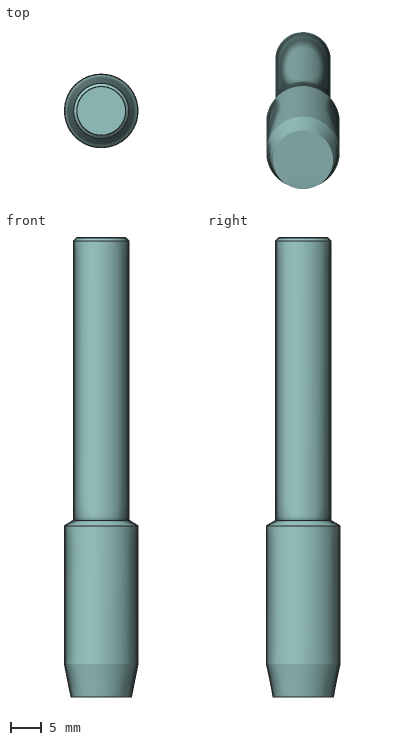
import cadquery as cq

total_length = 75.0
pin_diameter = 9.0
pin_chamfer = 0.5
base_diameter = 12.0
base_length = 28.9
shoulder_height = 0.9
tip_diameter = 9.8
tip_length = 5.4

pin_radius = pin_diameter / 2
base_radius = base_diameter / 2
tip_radius = tip_diameter / 2


def revolve_profile(profile):
    """Revolve (radius, height) points about the Z axis."""
    return cq.Workplane("XZ").polyline(profile).close().revolve(360, (0, 0), (0, 1))


def make_base():
    """Solid round base, tapered at the bottom, with a conical shoulder ending at the pin diameter."""
    return revolve_profile([
        (0, 0),
        (tip_radius, 0),
        (base_radius, tip_length),
        (base_radius, base_length - shoulder_height),
        (pin_radius, base_length),
        (0, base_length),
    ])


def make_pin():
    """Round pin standing on the base, chamfered at its top edge."""
    return revolve_profile([
        (0, base_length),
        (pin_radius, base_length),
        (pin_radius, total_length - pin_chamfer),
        (pin_radius - pin_chamfer, total_length),
        (0, total_length),
    ])


base = make_base()
pin = make_pin()
result = cq.Compound.makeCompound([base.val(), pin.val()])